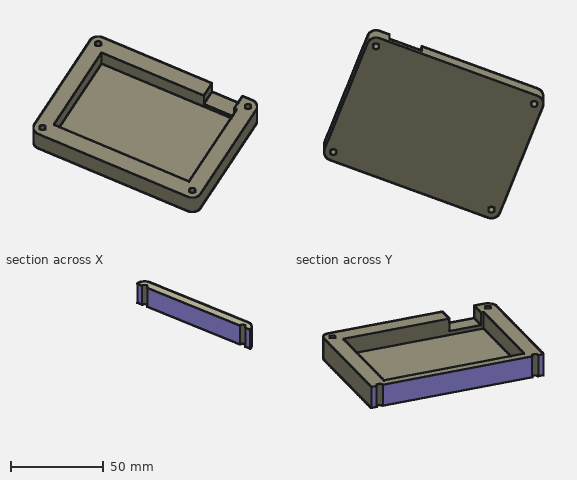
import cadquery as cq

length = 102.0
width = 74.8
height = 13.0
corner_radius = 5.0

hole_diameter = 3.4

pocket_length = 83.0
pocket_width = 55.6
floor_thickness = 3.1

notch_left = 21.3
notch_right = 40.0
notch_depth = 7.5

wall_thickness = (width - pocket_width) / 2


def rounded_block():
    block = cq.Workplane("XY").box(length, width, height, centered=(True, True, False))
    return block.edges("|Z").fillet(corner_radius)


def pocket():
    box = cq.Workplane("XY").box(pocket_length, pocket_width, height, centered=(True, True, False))
    return box.translate((0, 0, floor_thickness))


def notch():
    box = cq.Workplane("XY").box(
        notch_right - notch_left, wall_thickness, notch_depth, centered=False
    )
    return box.translate((notch_left, pocket_width / 2, height - notch_depth))


def screw_holes():
    return (
        cq.Workplane("XY")
        .rect(length - 2 * corner_radius, width - 2 * corner_radius, forConstruction=True)
        .vertices()
        .circle(hole_diameter / 2)
        .extrude(height)
    )


result = rounded_block().cut(pocket()).cut(notch()).cut(screw_holes())